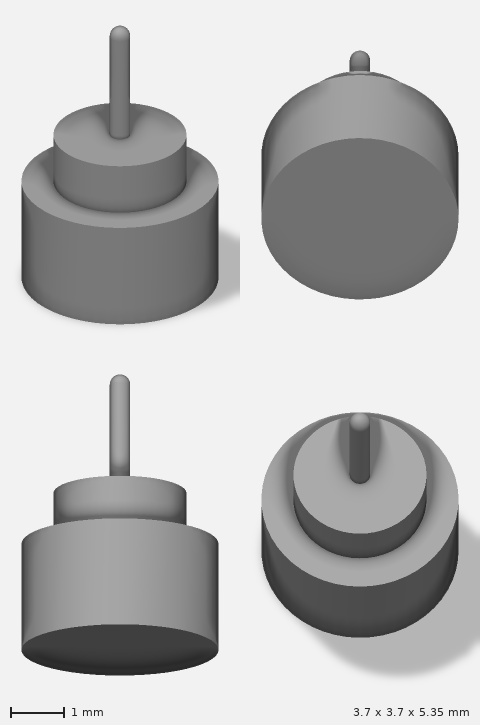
import cadquery as cq

total_height = 5.35
base_diameter = 3.7
base_height = 2.06
collar_diameter = 2.5
collar_height = 0.99
pin_diameter = 0.385

pin_radius = pin_diameter / 2
pin_height = total_height - base_height - collar_height

base = cq.Workplane("XY").circle(base_diameter / 2).extrude(base_height)
body = base.faces(">Z").workplane().circle(collar_diameter / 2).extrude(collar_height)

pin = (
    body.faces(">Z")
    .workplane()
    .circle(pin_radius)
    .extrude(pin_height - pin_radius, combine=False)
)
tip = cq.Workplane("XY").sphere(pin_radius).translate((0, 0, total_height - pin_radius))

result = body.union(pin).union(tip)